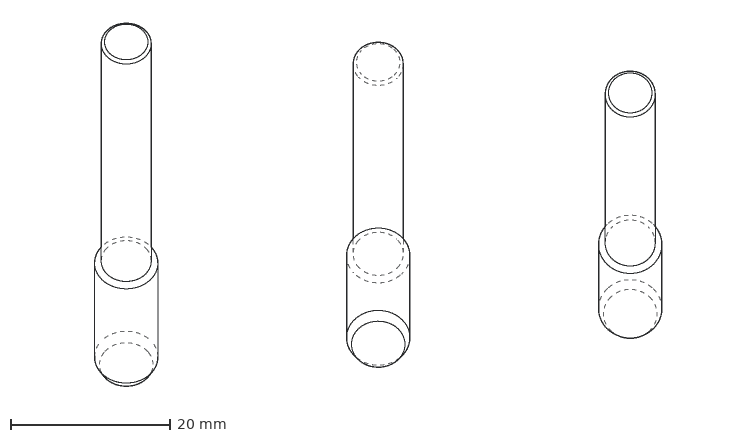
import cadquery as cq

total_length = 70.0
shank_radius = 4.0
rod_radius = 3.15

shank_length = 22.5
lead_in_height = 1.6
lead_in_inset = 0.6
shoulder_height = 0.4

rod_chamfer_inset = 0.4
rod_chamfer_height = 0.35


def make_shank():
    """Thick lower cylinder, revolved about Z with its base at the origin."""
    return (
        cq.Workplane("XZ")
        .moveTo(0, 0)
        .lineTo(shank_radius - lead_in_inset, 0)
        .lineTo(shank_radius, lead_in_height)
        .lineTo(shank_radius, shank_length - shoulder_height)
        .lineTo(rod_radius, shank_length)
        .lineTo(0, shank_length)
        .close()
        .revolve(360, (0, 0, 0), (0, 1, 0))
    )


def make_rod():
    """Slim upper cylinder standing on the flat top of the shank."""
    return (
        cq.Workplane("XY")
        .workplane(offset=shank_length)
        .circle(rod_radius)
        .extrude(total_length - shank_length)
        .faces(">Z")
        .edges()
        .chamfer(rod_chamfer_height, rod_chamfer_inset)
    )


shank = make_shank()
rod = make_rod()

result = cq.Compound.makeCompound([shank.val(), rod.val()])